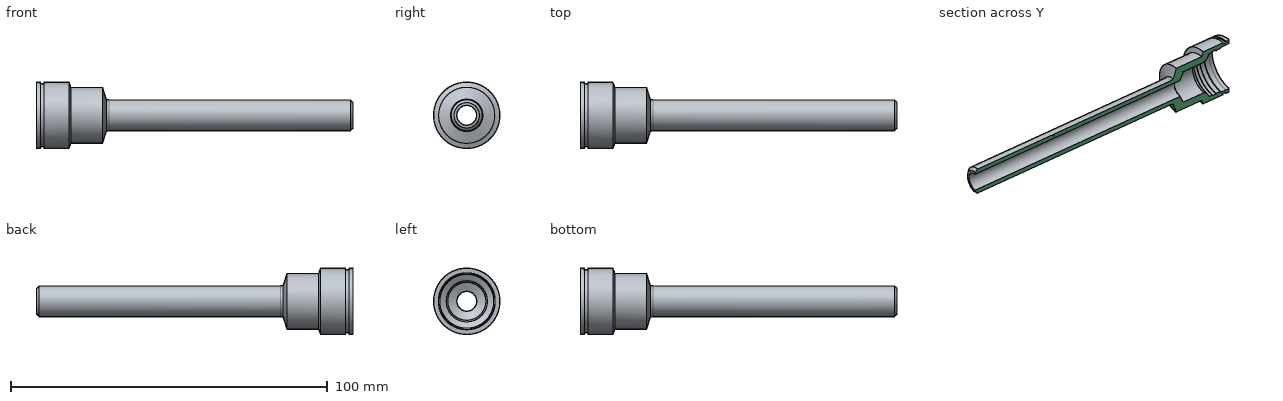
import cadquery as cq

length = 100.0

head_diameter = 21.0
head_end = 10.3
lip_width = 1.3
rim_groove_width = 1.2
rim_groove_diameter = 20.0

collar_diameter = 17.7
collar_start = 10.9
collar_end = 20.9
cone_end = 22.1
cone_end_diameter = 10.2

stem_diameter = 9.8
stem_start = 22.9
tip_chamfer = 0.9

mouth_diameter = 18.0
mouth_taper_end = 1.4
entry_diameter = 17.8
entry_end = 3.2
entry_chamfer_length = 0.4
socket_diameter = 17.0
inner_groove_start = 5.2
inner_groove_width = 1.4
inner_groove_diameter = 17.5
socket_end = 7.8
seat_cone_end = 9.0
seat_mouth_diameter = 13.0
seat_chamfer_length = 1.0
seat_diameter = 12.0
seat_end = 18.0
bore_cone_end = 19.3
bore_diameter = 6.2


def revolve_profile(stations):
    """Revolve (X, diameter) stations, closed onto the X axis, into a solid."""
    outline = [(stations[0][0], 0)]
    outline += [(x, diameter / 2) for x, diameter in stations]
    outline.append((stations[-1][0], 0))
    return cq.Workplane("XY").polyline(outline).close().revolve(360, (0, 0, 0), (1, 0, 0))


def ring_groove(start, width, inner_diameter, outer_diameter):
    """Square-sided ring used to cut a groove around the X axis."""
    return (
        cq.Workplane("YZ", origin=(start, 0, 0))
        .circle(outer_diameter / 2)
        .circle(inner_diameter / 2)
        .extrude(width)
    )


body = revolve_profile([
    (0, head_diameter),
    (head_end, head_diameter),
    (collar_start, collar_diameter),
    (collar_end, collar_diameter),
    (cone_end, cone_end_diameter),
    (stem_start, stem_diameter),
    (length - tip_chamfer, stem_diameter),
    (length, stem_diameter - 2 * tip_chamfer),
])

cavity = revolve_profile([
    (0, mouth_diameter),
    (mouth_taper_end, entry_diameter),
    (entry_end, entry_diameter),
    (entry_end + entry_chamfer_length, socket_diameter),
    (socket_end, socket_diameter),
    (seat_cone_end, seat_mouth_diameter),
    (seat_cone_end + seat_chamfer_length, seat_diameter),
    (seat_end, seat_diameter),
    (bore_cone_end, bore_diameter),
    (length, bore_diameter),
])

rim_groove = ring_groove(lip_width, rim_groove_width, rim_groove_diameter, head_diameter)
inner_groove = ring_groove(inner_groove_start, inner_groove_width, bore_diameter, inner_groove_diameter)

result = body.cut(cavity).cut(rim_groove).cut(inner_groove)